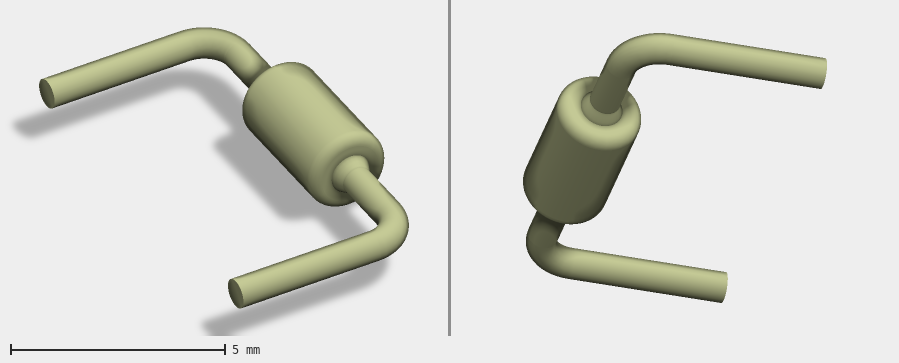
import cadquery as cq

overall_length = 9.6
overall_depth = 5.64
body_diameter = 2.04
body_length = 3.49
body_edge_radius = 0.26
lead_diameter = 0.73
bend_radius = 0.92
collar_diameter = 1.01
collar_length = 0.3

body_radius = body_diameter / 2
lead_x = (overall_length - lead_diameter) / 2
lead_end_y = body_radius - overall_depth


def make_body():
    """Cylindrical body with rounded end edges."""
    body = cq.Workplane("YZ", origin=(-body_length / 2, 0, 0)).circle(body_radius).extrude(body_length)
    return body.edges("%CIRCLE").fillet(body_edge_radius)


def make_lead():
    """One continuous round wire through the body, bent square at both ends."""
    bend_x = lead_x - bend_radius
    path = (
        cq.Workplane("XY")
        .moveTo(-lead_x, lead_end_y)
        .lineTo(-lead_x, -bend_radius)
        .tangentArcPoint((-bend_x, 0), relative=False)
        .lineTo(bend_x, 0)
        .tangentArcPoint((lead_x, -bend_radius), relative=False)
        .lineTo(lead_x, lead_end_y)
    )
    start_plane = cq.Plane(origin=(-lead_x, lead_end_y, 0), xDir=(1, 0, 0), normal=(0, 1, 0))
    return cq.Workplane(start_plane).circle(lead_diameter / 2).sweep(path)


def make_collar(side):
    """Conical collar tapering from a body end face (side = -1 or 1) to the lead."""
    cone = cq.Solid.makeCone(
        collar_diameter / 2,
        lead_diameter / 2,
        collar_length,
        pnt=cq.Vector(side * body_length / 2, 0, 0),
        dir=cq.Vector(side, 0, 0),
    )
    return cq.Workplane(cone)


result = make_body().union(make_lead())
for end_side in (-1, 1):
    result = result.union(make_collar(end_side))